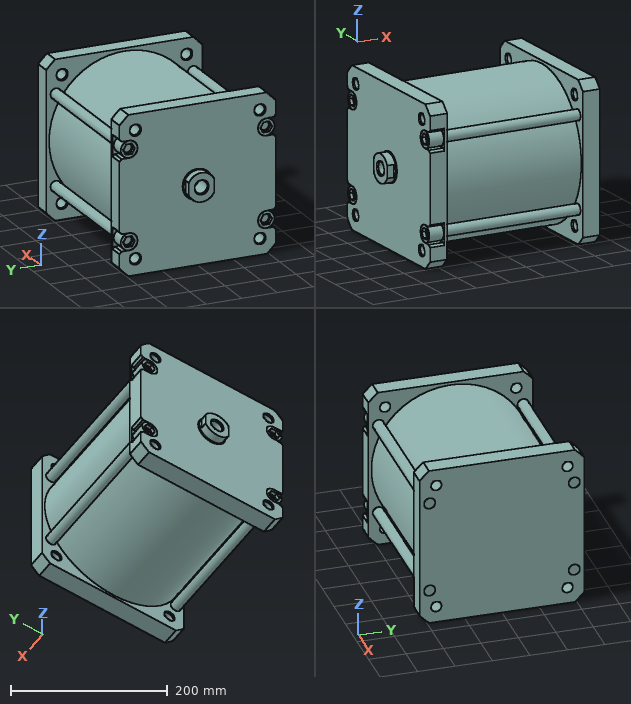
import cadquery as cq
import math


overall_length = 259.2
rod_projection = 12.0
plate_thickness = 25.0
rear_face_x = overall_length - rod_projection
barrel_length = rear_face_x - 2 * plate_thickness

plate_side = 220.0
corner_circle_diameter = 294.0

mount_spacing = 175.3
mount_hole_diameter = 14.0
mount_mouth_diameter = 16.0
mount_chamfer_depth = 2.0

barrel_diameter = 212.0

bolt_spacing_y = 193.1
bolt_spacing_z = 126.0
bolt_shank_diameter = 15.0
bolt_head_diameter = 23.3
bolt_head_height = 21.0
socket_across_flats = 14.0
socket_hex_depth = 5.2
socket_floor_diameter = 12.5
socket_floor_depth = 1.0

slot_width = 23.9
slot_edge_chamfer = 3.0

shaft_diameter = 42.0
nose_diameter = 40.0
shoulder_length = (shaft_diameter - nose_diameter) / 2
nose_across_flats = 36.0
flat_length = 9.3
rod_hole_diameter = 17.5
rod_hole_mouth_diameter = 20.0
rod_hole_chamfer_depth = 2.0
rod_hole_depth = 28.5
drill_point_angle = 118.0


def corner_points(spacing_y, spacing_z):
    """The four (y, z) corners of a rectangle centered on the axis."""
    return [(y * spacing_y / 2, z * spacing_z / 2) for y in (-1, 1) for z in (-1, 1)]


mount_positions = corner_points(mount_spacing, mount_spacing)
bolt_positions = corner_points(bolt_spacing_y, bolt_spacing_z)


def sketch_at(x):
    """Workplane facing +X at the given x; its local axes are Y and Z."""
    return cq.Workplane("YZ", origin=(x, 0, 0))


def cone(x, base_diameter, tip_diameter, height):
    """Cone on the X axis that goes from the base at x to the tip at x + height."""
    return cq.Workplane(
        cq.Solid.makeCone(
            base_diameter / 2, tip_diameter / 2, height, cq.Vector(x, 0, 0), cq.Vector(1, 0, 0)
        )
    )


def make_blank_plate(x):
    """Plate from x to x + plate_thickness with mounting holes and bolt shank holes."""
    plate = sketch_at(x).rect(plate_side, plate_side).extrude(plate_thickness)
    corner_limit = sketch_at(x).circle(corner_circle_diameter / 2).extrude(plate_thickness)
    plate = plate.intersect(corner_limit)

    mouth = cone(x, mount_mouth_diameter, mount_hole_diameter, mount_chamfer_depth)
    for y, z in mount_positions:
        hole = sketch_at(x).center(y, z).circle(mount_hole_diameter / 2).extrude(plate_thickness)
        plate = plate.cut(hole).cut(mouth.translate((0, y, z)))

    shank_holes = (
        sketch_at(x).pushPoints(bolt_positions).circle(bolt_shank_diameter / 2).extrude(plate_thickness)
    )
    return plate.cut(shank_holes)


def make_head_slot(y, z):
    """Round-ended slot from the bolt position out to the nearest side of the plate."""
    outward = math.copysign(1, y)
    edge_y = outward * plate_side / 2
    flare_y = edge_y - outward * slot_edge_chamfer
    radius = slot_width / 2
    flared_half_width = radius + slot_edge_chamfer
    return (
        sketch_at(0)
        .moveTo(edge_y, z + flared_half_width)
        .lineTo(flare_y, z + radius)
        .lineTo(y, z + radius)
        .threePointArc((y - outward * radius, z), (y, z - radius))
        .lineTo(flare_y, z - radius)
        .lineTo(edge_y, z - flared_half_width)
        .close()
        .extrude(bolt_head_height)
    )


def make_front_plate():
    plate = make_blank_plate(0)
    for y, z in bolt_positions:
        plate = plate.cut(make_head_slot(y, z))
    rod_bore = sketch_at(0).circle(shaft_diameter / 2).extrude(plate_thickness)
    return plate.cut(rod_bore)


def make_rear_plate():
    return make_blank_plate(plate_thickness + barrel_length)


def make_barrel():
    return sketch_at(plate_thickness).circle(barrel_diameter / 2).extrude(barrel_length)


def make_flat_cutter(side):
    """Cutter for one wrench flat, which runs out to the nose surface at 45 degrees."""
    flat_y = side * nose_across_flats / 2
    run_out = (nose_diameter - nose_across_flats) / 2
    outer_y = side * nose_diameter / 2
    flat_end_x = -rod_projection + flat_length
    return (
        cq.Workplane("XY")
        .moveTo(-rod_projection, flat_y)
        .lineTo(flat_end_x, flat_y)
        .lineTo(flat_end_x + run_out, outer_y)
        .lineTo(-rod_projection, outer_y)
        .close()
        .extrude(nose_diameter / 2, both=True)
    )


def make_piston_rod():
    tip_x = -rod_projection
    nose = sketch_at(tip_x).circle(nose_diameter / 2).extrude(rod_projection)
    shoulder = cone(0, nose_diameter, shaft_diameter, shoulder_length)
    shaft_length = plate_thickness - shoulder_length
    shaft = sketch_at(shoulder_length).circle(shaft_diameter / 2).extrude(shaft_length)
    rod = nose.union(shoulder).union(shaft)
    for side in (-1, 1):
        rod = rod.cut(make_flat_cutter(side))

    hole = sketch_at(tip_x).circle(rod_hole_diameter / 2).extrude(rod_hole_depth)
    mouth = cone(tip_x, rod_hole_mouth_diameter, rod_hole_diameter, rod_hole_chamfer_depth)
    point_height = rod_hole_diameter / 2 / math.tan(math.radians(drill_point_angle / 2))
    point = cone(tip_x + rod_hole_depth, rod_hole_diameter, 0, point_height)
    return rod.cut(hole).cut(mouth).cut(point)


def make_tie_bolt(y, z):
    """Socket-head bolt, flush with the outer faces of both plates."""
    head = sketch_at(0).center(y, z).circle(bolt_head_diameter / 2).extrude(bolt_head_height)
    shank = sketch_at(0).center(y, z).circle(bolt_shank_diameter / 2).extrude(rear_face_x)
    across_corners = socket_across_flats / math.cos(math.pi / 6)
    socket = sketch_at(0).center(y, z).polygon(6, across_corners).extrude(socket_hex_depth)
    floor = (
        sketch_at(socket_hex_depth)
        .center(y, z)
        .circle(socket_floor_diameter / 2)
        .extrude(socket_floor_depth)
    )
    return head.union(shank).cut(socket).cut(floor)


front_plate = make_front_plate()
rear_plate = make_rear_plate()
barrel = make_barrel()
piston_rod = make_piston_rod()
tie_bolts = [make_tie_bolt(y, z) for y, z in bolt_positions]

result = cq.Compound.makeCompound(
    [
        front_plate.val(),
        rear_plate.val(),
        barrel.val(),
        piston_rod.val(),
        *[bolt.val() for bolt in tie_bolts],
    ]
)